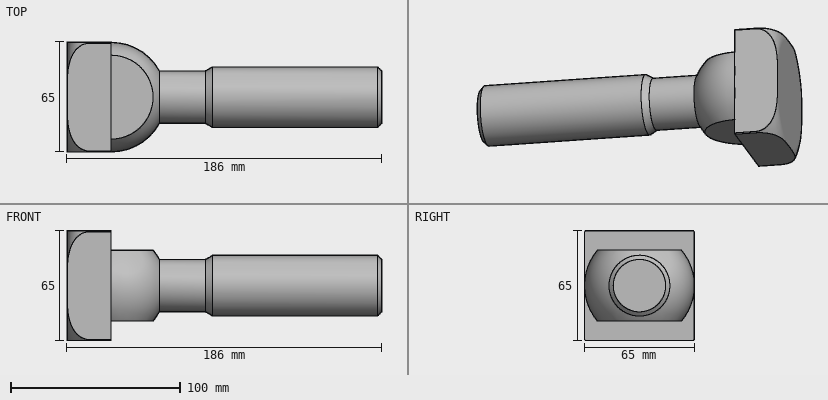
import cadquery as cq
import math

total_length = 186.0

head_width = 65.0
head_thickness = 26.0
head_corner_diameter = 91.0

collar_radius = head_width / 2
collar_height = 42.0

neck_diameter = 31.0
thread_diameter = 36.0
thread_start = 86.0
shoulder_angle = 30.0
end_chamfer = 2.5


def revolve_about_x(profile):
    """Turn a closed profile through a full revolution about the X axis."""
    return profile.revolve(360, (0, 0, 0), (1, 0, 0))


def make_head():
    """Square block whose corners are rounded by a turned, filleted disc.

    The disc's flat face is a circle that just touches the four sides of the block.
    """
    block = cq.Workplane("XY").box(head_thickness, head_width, head_width).translate(
        (head_thickness / 2, 0, 0)
    )
    disc_radius = head_corner_diameter / 2
    edge_radius = disc_radius - head_width / 2
    disc = (
        cq.Workplane("YZ")
        .circle(disc_radius)
        .extrude(head_thickness)
        .faces("<X")
        .edges()
        .fillet(edge_radius)
    )
    return block.intersect(disc)


def make_collar():
    """Half ball centred on the back of the head, with flats facing +Z and -Z."""
    quarter_disc = (
        cq.Workplane("XZ")
        .moveTo(head_thickness, 0)
        .lineTo(head_thickness, collar_radius)
        .radiusArc((head_thickness + collar_radius, 0), collar_radius)
        .close()
    )
    flat_slab = cq.Workplane("XY").box(total_length, head_width, collar_height).translate(
        (total_length / 2, 0, 0)
    )
    return revolve_about_x(quarter_disc).intersect(flat_slab)


def make_shank():
    """Neck, conical shoulder and full-diameter rod with a chamfered end."""
    neck_radius = neck_diameter / 2
    thread_radius = thread_diameter / 2
    shoulder_length = (thread_radius - neck_radius) / math.tan(math.radians(shoulder_angle))
    profile = (
        cq.Workplane("XY")
        .moveTo(head_thickness, 0)
        .lineTo(head_thickness, -neck_radius)
        .lineTo(thread_start - shoulder_length, -neck_radius)
        .lineTo(thread_start, -thread_radius)
        .lineTo(total_length - end_chamfer, -thread_radius)
        .lineTo(total_length, -(thread_radius - end_chamfer))
        .lineTo(total_length, 0)
        .close()
    )
    return revolve_about_x(profile)


result = make_head().union(make_collar()).union(make_shank())